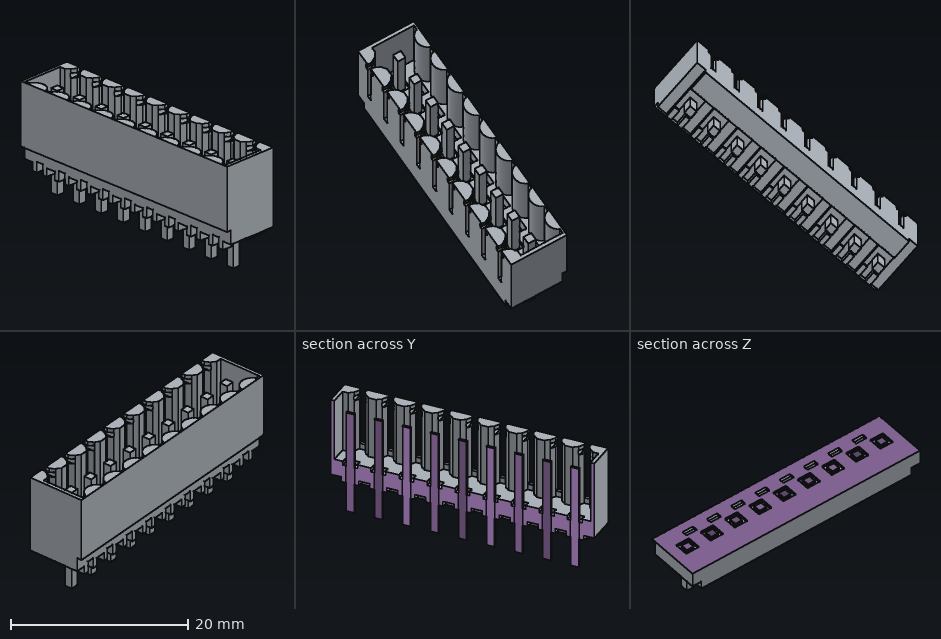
import cadquery as cq


LENGTH = 32.9
DEPTH = 7.45
HEIGHT = 14.25

PIN_COUNT = 9
PIN_ROW_SPAN = 28.0
PIN_WIDTH = 1.02
PIN_TOP_Z = 13.03
PIN_Y = 3.45
PITCH = PIN_ROW_SPAN / (PIN_COUNT - 1)
PIN_XS = [(i - (PIN_COUNT - 1) / 2) * PITCH for i in range(PIN_COUNT)]
GAP_XS = [x + PITCH / 2 for x in PIN_XS[:-1]]

BODY_BOTTOM_Z = 4.35
LEDGE_Z = 6.12
LEDGE_DEPTH = 0.63
FLOOR_Z = 6.5
END_WALL = 0.5
FRONT_WALL = 0.3
THIN_FRONT_WALL = 0.2
BACK_WALL = 1.58

BAY_RADIUS = 1.65
BAY_CENTRE_Y = 4.8
KEY_WIDTH = 0.7
KEY_MOUTH_WIDTH = 1.45
KEY_MOUTH_Y = 6.3
KEY_WALL = 0.5

LATCH_ROOF_Z = 13.72
LATCH_SILL_Z = 13.1
LATCH_RADIUS = 0.75
LATCH_CENTRE_Z = 13.5
SLOT_BOTTOM_Z = 7.25

RIB_RADIUS = 1.48
RIB_TIP_Y = 1.2

PIN_RECESS_WIDTH = 1.78
PIN_RECESS_DEPTH = 0.5
RAMP_WIDTH = 1.45
RAMP_FRONT_Y = 1.1
RAMP_FOOT_Y = 1.5
RAMP_BACK_Y = 1.97
RAMP_DEPTH = 0.43

FOOT_BOTTOM_Z = 3.25
FOOT_END_INSET = 1.28
CHANNEL_FRONT_Y = 2.07
CHANNEL_BACK_Y = 4.87
CHANNEL_ROOF_Z = 3.72
FOOT_GAP_WIDTH = 1.3
PIN_SLOT_WIDTH = 0.95
PIN_SLOT_ROOF_Z = 4.65


def block(x_centre, width, y_front, y_back, z_bottom, z_top):
    """Box centred on x_centre and bounded by the given Y and Z planes."""
    return cq.Workplane("XY").box(
        width, y_back - y_front, z_top - z_bottom, centered=(True, False, False)
    ).translate((x_centre, y_front, z_bottom))


def pin_block(x):
    """The full volume of one square pin."""
    half = PIN_WIDTH / 2
    return block(x, PIN_WIDTH, PIN_Y - half, PIN_Y + half, 0, PIN_TOP_Z)


def shell():
    """Solid body with the front overhang, before any cavity is cut."""
    upper = block(0, LENGTH, 0, DEPTH, LEDGE_Z, HEIGHT)
    lower = block(0, LENGTH, LEDGE_DEPTH, DEPTH, BODY_BOTTOM_Z, LEDGE_Z)
    return upper.union(lower)


def feet():
    """Ribs across the underside, open in front and joined by a rear strip."""
    length = LENGTH - 2 * FOOT_END_INSET
    strip = block(0, length, LEDGE_DEPTH, DEPTH, FOOT_BOTTOM_Z, BODY_BOTTOM_Z)
    channel = block(0, length, CHANNEL_FRONT_Y, CHANNEL_BACK_Y, FOOT_BOTTOM_Z, CHANNEL_ROOF_Z)
    strip = strip.cut(channel)
    for x in GAP_XS:
        strip = strip.cut(
            block(x, FOOT_GAP_WIDTH, LEDGE_DEPTH, CHANNEL_BACK_Y, FOOT_BOTTOM_Z, BODY_BOTTOM_Z)
        )
    return strip


def plug_bay(x):
    """Round bay behind one pin with a keyway that narrows toward the back wall."""
    height = HEIGHT - FLOOR_Z
    base = cq.Workplane("XY", origin=(x, 0, FLOOR_Z))
    bay = base.center(0, BAY_CENTRE_Y).circle(BAY_RADIUS).extrude(height)
    keyway = (
        base.moveTo(-KEY_MOUTH_WIDTH / 2, BAY_CENTRE_Y)
        .lineTo(-KEY_MOUTH_WIDTH / 2, KEY_MOUTH_Y)
        .lineTo(-KEY_WIDTH / 2, DEPTH - KEY_WALL)
        .lineTo(KEY_WIDTH / 2, DEPTH - KEY_WALL)
        .lineTo(KEY_MOUTH_WIDTH / 2, KEY_MOUTH_Y)
        .lineTo(KEY_MOUTH_WIDTH / 2, BAY_CENTRE_Y)
        .close()
        .extrude(height)
    )
    return bay.union(keyway)


def front_rib(x):
    """Round rib on the inside of the front wall, as high as the cavity."""
    rib = (
        cq.Workplane("XY", origin=(x, RIB_TIP_Y - RIB_RADIUS, FLOOR_Z))
        .circle(RIB_RADIUS)
        .extrude(HEIGHT - FLOOR_Z)
    )
    return rib.intersect(block(x, PITCH, 0, DEPTH, FLOOR_Z, HEIGHT))


def cavity():
    """Plug cavity: a long pocket with bays at the back and ribs at the front."""
    back_y = DEPTH - BACK_WALL
    pocket = block(0, LENGTH - 2 * END_WALL, FRONT_WALL, back_y, FLOOR_Z, HEIGHT)
    pocket = pocket.union(block(0, PIN_ROW_SPAN, THIN_FRONT_WALL, back_y, FLOOR_Z, HEIGHT))
    for x in PIN_XS:
        pocket = pocket.union(plug_bay(x)).cut(front_rib(x))
    return pocket


def latch_opening(x):
    """Round opening with a flat roof and sill, and the tall slot that crosses it."""
    opening = (
        cq.Workplane("XZ", origin=(x, DEPTH, LATCH_CENTRE_Z))
        .circle(LATCH_RADIUS)
        .extrude(DEPTH - BAY_CENTRE_Y)
        .intersect(block(x, 2 * LATCH_RADIUS, BAY_CENTRE_Y, DEPTH, LATCH_SILL_Z, LATCH_ROOF_Z))
    )
    slot = block(x, KEY_WIDTH, KEY_MOUTH_Y, DEPTH, SLOT_BOTTOM_Z, HEIGHT)
    return opening.union(slot)


def floor_ramp(x):
    """Recess in the cavity floor with a flat bottom and a ramp at its front."""
    return (
        cq.Workplane("YZ", origin=(x - RAMP_WIDTH / 2, 0, 0))
        .moveTo(RAMP_FRONT_Y, FLOOR_Z)
        .lineTo(RAMP_FOOT_Y, FLOOR_Z - RAMP_DEPTH)
        .lineTo(RAMP_BACK_Y, FLOOR_Z - RAMP_DEPTH)
        .lineTo(RAMP_BACK_Y, FLOOR_Z)
        .close()
        .extrude(RAMP_WIDTH)
    )


def pin_seat(x):
    """Hole for one pin, with a square recess above and an open slot in front."""
    half_recess = PIN_RECESS_WIDTH / 2
    recess = block(
        x, PIN_RECESS_WIDTH, PIN_Y - half_recess, PIN_Y + half_recess,
        FLOOR_Z - PIN_RECESS_DEPTH, FLOOR_Z,
    )
    slot = block(x, PIN_SLOT_WIDTH, LEDGE_DEPTH, PIN_Y, FOOT_BOTTOM_Z, PIN_SLOT_ROOF_Z)
    return pin_block(x).union(recess).union(slot)


def make_housing():
    body = shell().union(feet()).cut(cavity())
    for x in PIN_XS:
        body = body.cut(latch_opening(x)).cut(pin_seat(x))
    for x in GAP_XS:
        body = body.cut(floor_ramp(x))
    return body


housing = make_housing()
pins = [pin_block(x) for x in PIN_XS]

result = cq.Compound.makeCompound([housing.val(), *[pin.val() for pin in pins]])